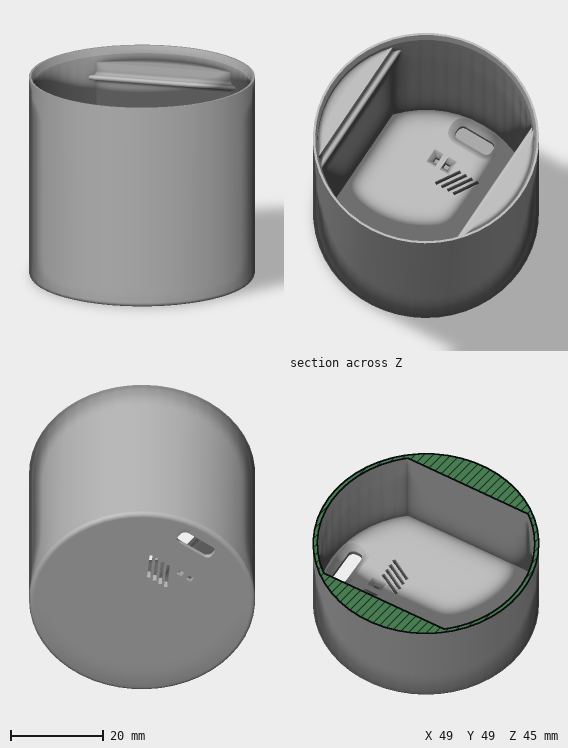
import cadquery as cq
import math

outer_diameter = 49.0
height = 45.0
bore_diameter = 47.0
floor_thickness = 2.0
bottom_fillet = 1.0

lip_diameter = 48.0
lip_depth = 1.6

segment_face_y = 18.05
segment_drop = 3.1
bead_drop = 6.3
bead_projection = 1.3
nose_radius = 0.55
cove_radius = bead_projection - nose_radius

slot_x = 19.75
slot_width = 3.3
slot_length = 9.0
slot_corner_radius = 1.25
slot_flare = 1.5
slot_flare_depth = 1.0

window_x = 11.4
window_size = 1.22
window_inner_edge_y = (3.8, 2.55)
pocket_x = 11.45
pocket_width = 3.45
pocket_length = 2.2
pocket_depth = 1.05

slit_count = 4
slit_x = 9.05
slit_first_y = 0.05
slit_pitch = 1.5
slit_length = 6.1
slit_width = 0.8
slit_angle = -31.0


def make_cup():
    body = cq.Workplane("XY").circle(outer_diameter / 2).extrude(height)
    body = body.faces("<Z").edges().fillet(bottom_fillet)
    bore = (
        cq.Workplane("XY", origin=(0, 0, floor_thickness))
        .circle(bore_diameter / 2)
        .extrude(height)
    )
    lip = (
        cq.Workplane("XY", origin=(0, 0, height - lip_depth))
        .circle(bore_diameter / 2)
        .workplane(offset=lip_depth)
        .circle(lip_diameter / 2)
        .loft()
    )
    return body.cut(bore).cut(lip)


def make_side_segment():
    """Segment on the +Y side: flat face with a bead of two coves and a rounded nose."""
    bead_z = height - bead_drop
    nose_start_y = segment_face_y - cove_radius
    tip_y = nose_start_y - nose_radius
    cove_start = nose_radius + cove_radius
    diagonal = math.sqrt(0.5)
    cove_mid_y = nose_start_y + cove_radius * diagonal
    cove_mid = nose_radius + cove_radius * (1 - diagonal)
    profile = (
        cq.Workplane("YZ", origin=(-outer_diameter / 2, 0, 0))
        .moveTo(outer_diameter / 2, 0)
        .lineTo(segment_face_y, 0)
        .lineTo(segment_face_y, bead_z - cove_start)
        .threePointArc((cove_mid_y, bead_z - cove_mid), (nose_start_y, bead_z - nose_radius))
        .threePointArc((tip_y, bead_z), (nose_start_y, bead_z + nose_radius))
        .threePointArc((cove_mid_y, bead_z + cove_mid), (segment_face_y, bead_z + cove_start))
        .lineTo(segment_face_y, height - segment_drop)
        .lineTo(outer_diameter / 2, height - segment_drop)
        .close()
        .extrude(outer_diameter)
    )
    trim_radius = (outer_diameter + bore_diameter) / 4
    trim = (
        cq.Workplane("XY", origin=(0, 0, floor_thickness / 2))
        .circle(trim_radius)
        .extrude(height)
    )
    return profile.intersect(trim)


def make_slot():
    lower = cq.Sketch().rect(slot_width, slot_length).vertices().fillet(slot_corner_radius)
    upper = (
        cq.Sketch()
        .rect(slot_width + 2 * slot_flare, slot_length + 2 * slot_flare)
        .vertices()
        .fillet(slot_corner_radius + slot_flare)
    )
    through = cq.Workplane("XY", origin=(slot_x, 0, 0)).placeSketch(lower).extrude(floor_thickness)
    flare = (
        cq.Workplane("XY", origin=(slot_x, 0, floor_thickness - slot_flare_depth))
        .placeSketch(lower, upper.moved(cq.Location(cq.Vector(0, 0, slot_flare_depth))))
        .loft()
    )
    return through.union(flare)


def make_window(inner_edge_y, side):
    """Window whose pocket widens away from inner_edge_y, towards +Y or -Y (side = 1 or -1)."""
    window_y = inner_edge_y + side * window_size / 2
    pocket_y = inner_edge_y + side * pocket_length / 2
    through = (
        cq.Workplane("XY", origin=(window_x, window_y, 0))
        .rect(window_size, window_size)
        .extrude(floor_thickness)
    )
    flare = (
        cq.Workplane("XY", origin=(window_x, window_y, floor_thickness - pocket_depth))
        .rect(window_size, window_size)
        .workplane(offset=pocket_depth)
        .center(pocket_x - window_x, pocket_y - window_y)
        .rect(pocket_width, pocket_length)
        .loft(ruled=True)
    )
    return through.union(flare)


def make_slit(center_y):
    slit = cq.Workplane("XY").rect(slit_length, slit_width).extrude(floor_thickness)
    return slit.rotate((0, 0, 0), (0, 0, 1), slit_angle).translate((slit_x, center_y, 0))


segment = make_side_segment()
result = make_cup().union(segment).union(segment.mirror("XZ"))

result = result.cut(make_slot())
for edge_y, direction in zip(window_inner_edge_y, (1, -1)):
    result = result.cut(make_window(edge_y, direction))
for index in range(slit_count):
    result = result.cut(make_slit(slit_first_y - index * slit_pitch))